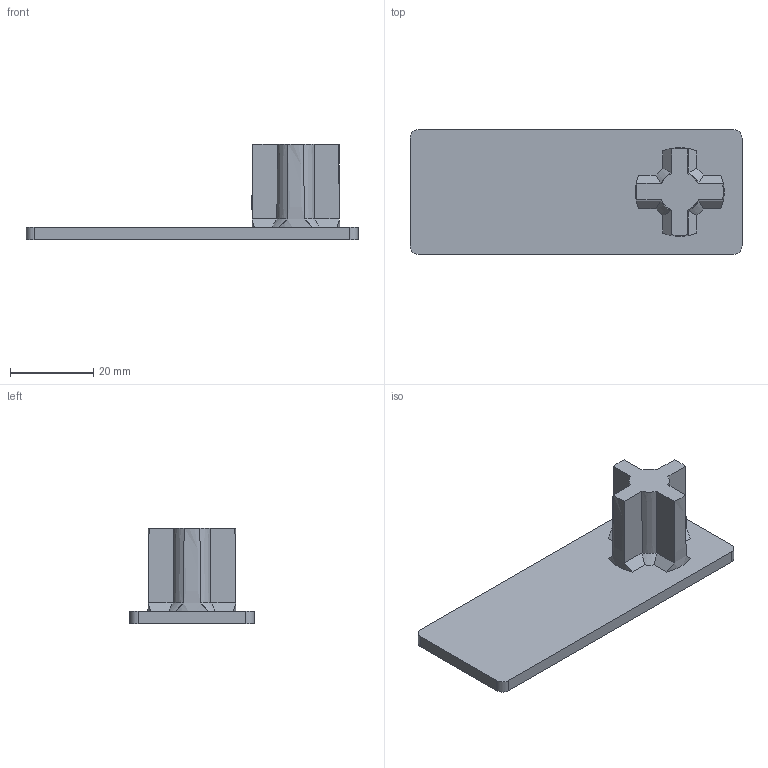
import cadquery as cq
import math

PLATE_LENGTH = 80.0
PLATE_WIDTH = 30.0
PLATE_THICKNESS = 3.0
PLATE_CORNER_RADIUS = 2.0

POST_X = 25.0
POST_HEIGHT = 20.0
POST_RADIUS = 10.7
CORE_RADIUS = 5.0
ARM_WIDTH = 4.15
ARM_COUNT = 4
DRAFT_ANGLE = 0.5

FLARE_HEIGHT = 2.0
FLARE_REACH = 2.0

DRAFT_SLOPE = math.tan(math.radians(DRAFT_ANGLE))
ARM_BLANK_LENGTH = POST_RADIUS + 1.0


def drafted(size_at_base, height):
    """Radius or half-width left at a height above the plate after the draft."""
    return size_at_base - height * DRAFT_SLOPE


def cone(bottom_radius, top_radius, height):
    """Frustum on the plate's top face, about the post axis."""
    solid = cq.Solid.makeCone(bottom_radius, top_radius, height)
    return cq.Workplane(solid).translate((POST_X, 0, PLATE_THICKNESS))


def arm(bottom_half_width, top_half_width, height, angle):
    """Trapezoidal bar running outward from the post axis at the given angle."""
    bar = (
        cq.Workplane("YZ")
        .polyline([
            (-bottom_half_width, 0),
            (bottom_half_width, 0),
            (top_half_width, height),
            (-top_half_width, height),
        ])
        .close()
        .extrude(ARM_BLANK_LENGTH)
    )
    return bar.rotate((0, 0, 0), (0, 0, 1), angle).translate((POST_X, 0, PLATE_THICKNESS))


def make_plate():
    return (
        cq.Workplane("XY")
        .box(PLATE_LENGTH, PLATE_WIDTH, PLATE_THICKNESS, centered=(True, True, False))
        .edges("|Z")
        .fillet(PLATE_CORNER_RADIUS)
    )


def make_post():
    half_width = ARM_WIDTH / 2
    flare_top_half_width = drafted(half_width, FLARE_HEIGHT)
    flare_top_radius = drafted(CORE_RADIUS, FLARE_HEIGHT)

    post = cone(CORE_RADIUS, drafted(CORE_RADIUS, POST_HEIGHT), POST_HEIGHT)
    post = post.union(cone(flare_top_radius + FLARE_REACH, flare_top_radius, FLARE_HEIGHT))
    for index in range(ARM_COUNT):
        angle = index * 360 / ARM_COUNT
        post = post.union(arm(half_width, drafted(half_width, POST_HEIGHT), POST_HEIGHT, angle))
        post = post.union(
            arm(flare_top_half_width + FLARE_REACH, flare_top_half_width, FLARE_HEIGHT, angle)
        )

    envelope = cone(POST_RADIUS, drafted(POST_RADIUS, POST_HEIGHT), POST_HEIGHT)
    return post.intersect(envelope)


result = make_plate().union(make_post())